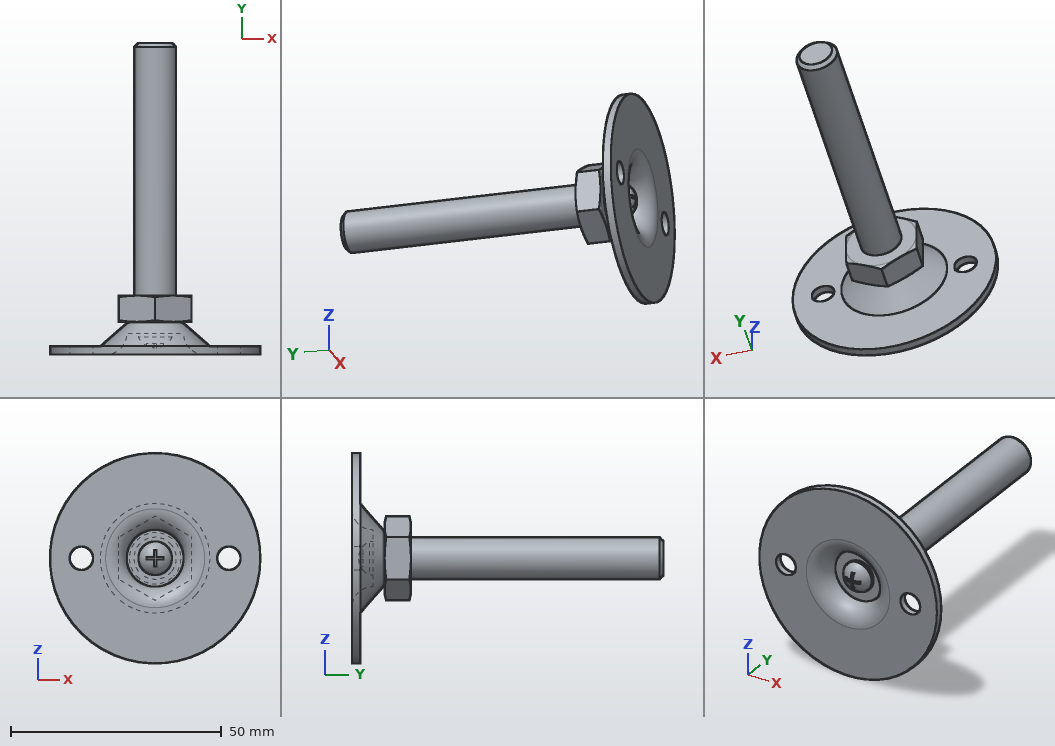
import math
import cadquery as cq


plate_diameter = 50.0
plate_thickness = 2.0
mounting_hole_diameter = 5.5
mounting_hole_spacing = 35.0

hub_base_diameter = 26.0
hub_top_diameter = 13.8
hub_top_y = 7.35
collar_diameter = 12.2

dish_floor_diameter = 13.5
dish_depth = 5.0
dish_rim_diameter = dish_floor_diameter + 2 * dish_depth

stud_end_diameter = 8.0
stud_neck_height = 0.8
dome_height = 2.6
stud_neck_y = dish_depth - stud_neck_height
dome_tip_y = stud_neck_y - dome_height
cross_length = 4.0
cross_width = 0.6
cross_depth = 1.0

nut_y = 7.8
nut_thickness = 6.2
corner_to_z_angle = 30.0
nut_corner_diameter = 20.0
nut_flat_width = nut_corner_diameter * math.cos(math.pi / 6)
nut_chamfer_angle = math.radians(15)

stud_diameter = 10.0
stud_end_y = 74.0
stud_chamfer = 1.0


def revolve_about_y(profile):
    """Turn a closed (radius, y) profile a full revolution about the Y axis."""
    return profile.close().revolve(360, (0, 0, 0), (0, 1, 0))


def cylinder_along_y(diameter, y_start, y_end):
    plane = cq.Workplane("XZ", origin=(0, y_start, 0))
    return plane.circle(diameter / 2).extrude(-(y_end - y_start))


def make_foot():
    """Round plate and conical hub, tapering to a narrow collar under the nut."""
    outline = (
        cq.Workplane("XY")
        .lineTo(plate_diameter / 2, 0)
        .lineTo(plate_diameter / 2, plate_thickness)
        .lineTo(hub_base_diameter / 2, plate_thickness)
        .lineTo(hub_top_diameter / 2, hub_top_y)
        .lineTo(collar_diameter / 2, nut_y)
        .lineTo(0, nut_y)
    )
    return revolve_about_y(outline)


def make_dish():
    """Recess whose wall is a quarter arc, tangent to the contact face at the rim."""
    rim_radius = dish_rim_diameter / 2
    floor_radius = dish_floor_diameter / 2
    arc_offset = dish_depth * math.sqrt(0.5)
    outline = (
        cq.Workplane("XY")
        .lineTo(rim_radius, 0)
        .threePointArc(
            (rim_radius - arc_offset, dish_depth - arc_offset),
            (floor_radius, dish_depth),
        )
        .lineTo(0, dish_depth)
    )
    return revolve_about_y(outline)


def make_mounting_holes():
    half_spacing = mounting_hole_spacing / 2
    return (
        cq.Workplane("XZ")
        .pushPoints([(-half_spacing, 0), (half_spacing, 0)])
        .circle(mounting_hole_diameter / 2)
        .extrude(-plate_thickness)
    )


def make_domed_end():
    """Stud end on the dish floor: a short cylindrical neck closed by a spherical cap."""
    radius = stud_end_diameter / 2
    sphere_radius = (radius**2 + dome_height**2) / (2 * dome_height)
    sphere = cq.Workplane("XY").sphere(sphere_radius).translate((0, dome_tip_y + sphere_radius, 0))
    return cylinder_along_y(stud_end_diameter, dome_tip_y, dish_depth).intersect(sphere)


def make_cross_recess():
    center = (0, dome_tip_y + cross_depth / 2, 0)
    bar_x = cq.Workplane("XY").box(cross_length, cross_depth, cross_width)
    bar_z = cq.Workplane("XY").box(cross_width, cross_depth, cross_length)
    return bar_x.union(bar_z).translate(center)


def make_nut():
    """Hexagon with corners on the Z axis, chamfered at both ends by shallow cones."""
    corner_radius = nut_corner_diameter / 2
    flat_radius = nut_flat_width / 2
    chamfer_height = (corner_radius - flat_radius) * math.tan(nut_chamfer_angle)
    nut_end_y = nut_y + nut_thickness
    hexagon = (
        cq.Workplane("XZ", origin=(0, nut_y, 0))
        .polygon(6, nut_corner_diameter)
        .extrude(-nut_thickness)
        .rotate((0, 0, 0), (0, 1, 0), corner_to_z_angle)
    )
    chamfer_envelope = revolve_about_y(
        cq.Workplane("XY")
        .moveTo(0, nut_y)
        .lineTo(flat_radius, nut_y)
        .lineTo(corner_radius, nut_y + chamfer_height)
        .lineTo(corner_radius, nut_end_y - chamfer_height)
        .lineTo(flat_radius, nut_end_y)
        .lineTo(0, nut_end_y)
    )
    return hexagon.intersect(chamfer_envelope)


def make_stud():
    rod = cylinder_along_y(stud_diameter, nut_y, stud_end_y)
    return rod.faces(">Y").chamfer(stud_chamfer)


foot = make_foot().cut(make_dish()).cut(make_mounting_holes())
domed_end = make_domed_end().cut(make_cross_recess())
result = foot.union(domed_end).union(make_nut()).union(make_stud())